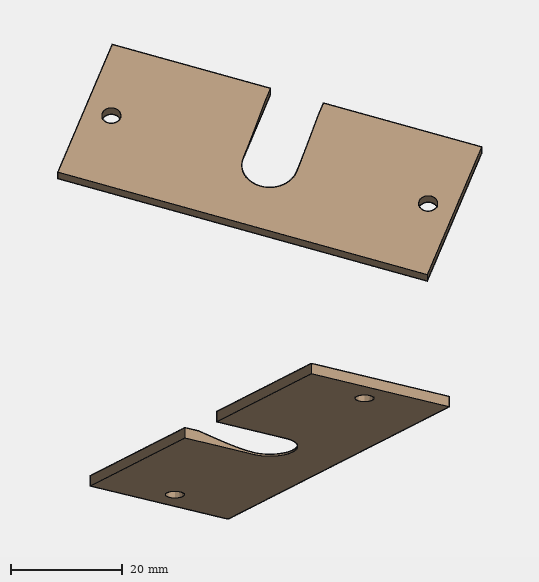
import cadquery as cq

plate_length = 70.0
plate_width = 30.0
plate_thickness = 2.0

mount_hole_diameter = 3.4
mount_hole_spacing = 60.0

slot_width = 10.0

countersink_top_diameter = 26.0
countersink_bottom_diameter = 6.0


def make_plate():
    """Flat rectangular plate."""
    return cq.Workplane("XY").box(
        plate_length, plate_width, plate_thickness, centered=(True, True, False)
    )


def make_mount_holes():
    """Through-hole cutters, one on each side of the slot."""
    half_spacing = mount_hole_spacing / 2
    return (
        cq.Workplane("XY")
        .pushPoints([(-half_spacing, 0), (half_spacing, 0)])
        .circle(mount_hole_diameter / 2)
        .extrude(plate_thickness)
    )


def make_slot():
    """Through-slot cutter: a half-round end and straight sides out to the +Y edge."""
    half_slot = slot_width / 2
    plate_edge = plate_width / 2
    return (
        cq.Workplane("XY")
        .moveTo(-half_slot, plate_edge)
        .lineTo(-half_slot, 0)
        .threePointArc((0, -half_slot), (half_slot, 0))
        .lineTo(half_slot, plate_edge)
        .close()
        .extrude(plate_thickness)
    )


def make_countersink():
    """Cone frustum cutter, wide end flush with the top face."""
    return (
        cq.Workplane("XZ")
        .moveTo(0, 0)
        .lineTo(countersink_bottom_diameter / 2, 0)
        .lineTo(countersink_top_diameter / 2, plate_thickness)
        .lineTo(0, plate_thickness)
        .close()
        .revolve(360, (0, 0, 0), (0, 1, 0))
    )


result = make_plate().cut(make_countersink()).cut(make_slot()).cut(make_mount_holes())